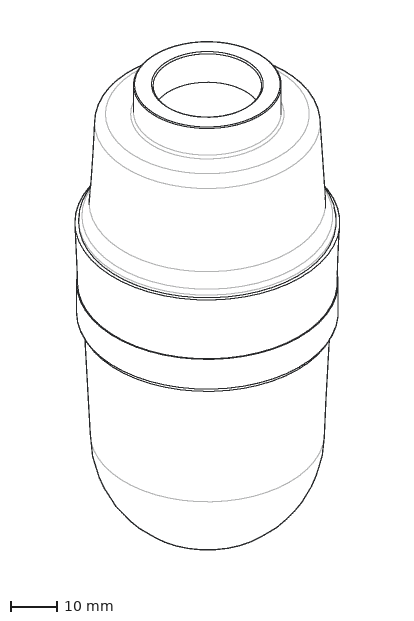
import cadquery as cq
import math

TOTAL_HEIGHT = 119.0
SHOULDER_Z = 111.0
UPPER_BODY_BASE_Z = 87.3
FLARE_BASE_Z = 83.8
COLLAR_TOP_Z = 82.0
COLLAR_STEP_Z = 65.8
COLLAR_BASE_Z = 56.9

NECK_RADIUS = 16.1
NECK_FILLET = 0.6
NECK_CHAMFER = 0.2
BORE_RADIUS = 11.8
BORE_DEPTH = 8.0
BORE_CHAMFER = 0.4

SHOULDER_RADIUS = 24.4
SHOULDER_FILLET = 2.4
UPPER_BODY_BASE_RADIUS = 25.7
FLARE_RADIUS = 27.3
FLARE_HOLLOW = 0.4
RIM_RADIUS = 28.0
RIM_ROUNDING_HEIGHT = 1.1

COLLAR_RADIUS = 28.8
COLLAR_TAPER_RADIUS = 28.2
LOWER_BAND_RADIUS = 28.5
LOWER_BAND_CHAMFER_HEIGHT = 1.0
LOWER_BAND_CHAMFER_WIDTH = 0.5

DOME_TOP_RADIUS = 26.9
DOME_RADIUS = 25.5

dome_arc_middle = (DOME_RADIUS * math.sin(math.pi / 4), DOME_RADIUS * (1 - math.cos(math.pi / 4)))
flare_middle = (
    (UPPER_BODY_BASE_RADIUS + FLARE_RADIUS) / 2 - FLARE_HOLLOW,
    (UPPER_BODY_BASE_Z + FLARE_BASE_Z) / 2 - FLARE_HOLLOW,
)

body = (
    cq.Workplane("XZ")
    .moveTo(0, 0)
    .threePointArc(dome_arc_middle, (DOME_RADIUS, DOME_RADIUS))
    .lineTo(DOME_TOP_RADIUS, COLLAR_BASE_Z)
    .lineTo(LOWER_BAND_RADIUS - LOWER_BAND_CHAMFER_WIDTH, COLLAR_BASE_Z)
    .lineTo(LOWER_BAND_RADIUS, COLLAR_BASE_Z + LOWER_BAND_CHAMFER_HEIGHT)
    .lineTo(LOWER_BAND_RADIUS, COLLAR_STEP_Z)
    .lineTo(COLLAR_TAPER_RADIUS, COLLAR_STEP_Z)
    .lineTo(COLLAR_RADIUS, COLLAR_TOP_Z)
    .lineTo(RIM_RADIUS, COLLAR_TOP_Z)
    .lineTo(RIM_RADIUS, FLARE_BASE_Z - RIM_ROUNDING_HEIGHT)
    .tangentArcPoint((FLARE_RADIUS, FLARE_BASE_Z), relative=False)
    .threePointArc(flare_middle, (UPPER_BODY_BASE_RADIUS, UPPER_BODY_BASE_Z))
    .lineTo(SHOULDER_RADIUS, SHOULDER_Z)
    .lineTo(0, SHOULDER_Z)
    .close()
    .revolve(360, (0, 0, 0), (0, 1, 0))
)


def ring_at(radius, height):
    """Selector for the circular edge of the given radius at the given height."""
    margin = 0.1
    reach = radius + margin
    return cq.selectors.BoxSelector(
        (-reach, -reach, height - margin), (reach, reach, height + margin), boundingbox=True
    )


body = body.edges(ring_at(SHOULDER_RADIUS, SHOULDER_Z)).fillet(SHOULDER_FILLET)

neck = cq.Workplane("XY").workplane(offset=SHOULDER_Z).circle(NECK_RADIUS).extrude(TOTAL_HEIGHT - SHOULDER_Z)
neck = neck.faces(">Z").edges().chamfer(NECK_CHAMFER)
body = body.union(neck)
body = body.edges(ring_at(NECK_RADIUS, SHOULDER_Z)).fillet(NECK_FILLET)

bore = cq.Workplane("XY").workplane(offset=TOTAL_HEIGHT - BORE_DEPTH).circle(BORE_RADIUS).extrude(BORE_DEPTH)
body = body.cut(bore)
body = body.edges(ring_at(BORE_RADIUS, TOTAL_HEIGHT)).chamfer(BORE_CHAMFER)

result = body